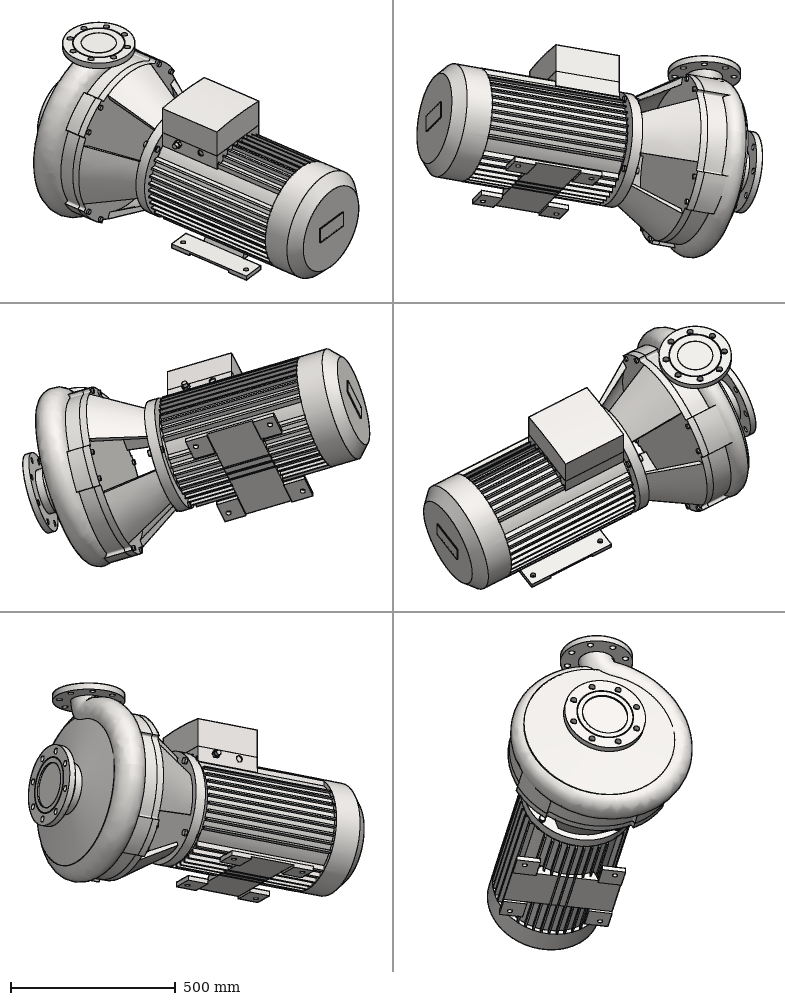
import cadquery as cq
import math


diagonals = (45, 135, 225, 315)

suction_flange_thk = 20.0
collar_x = 46.5
cone_start_x = 69.5
cone_end_x = 93.0
volute_x = 139.5
split_x = 233.0
ring_end_x = 255.5
flange_x = 415.0
motor_x = 448.0
stator_x = 462.5
fan_cover_x = 909.0
taper_x = 992.0
motor_end_x = 1027.5
overall_length = 1031.0

suction_flange_d = 250.0
suction_bolt_circle = 210.0
suction_face_d = 175.0
suction_bore_d = 139.7
suction_recess = 5.0
collar_d = 159.7
cone_r = 233.0
casing_r = 252.0
pad_r = 264.0
pad_half_angle = 14.0
pad_fillet = 5.0

discharge_z = 315.0
discharge_flange_d = 220.0
discharge_flange_thk = 20.0
discharge_bolt_circle = 180.0
discharge_face_d = 159.7
discharge_bore_d = 107.1
discharge_recess = 1.0
face_groove_width = 2.0
face_groove_depth = 0.5
flange_bolts = 8
flange_hole_d = 18.0

outlet_reach = 295.0
tail_reach = 264.8
outlet_tube_r = 48.0
tail_tube_r = 42.0
neck_tube_r = 55.0
outlet_centre_shift = 7.0
tail_centre_shift = 3.0

arm_thk = 23.0
arm_root_r = casing_r
arm_tip_r = 155.0
arm_half_angle = 25.0
motor_flange_d = 350.0
casing_screw_r = 252.0
casing_screw_angle = 9.5
casing_screw_head_d = 15.0
casing_screw_head_h = 6.0

flange_bolt_r = 163.5
flange_bolt_d = 13.0
flange_bolt_head_d = 19.0
flange_bolt_head_h = 9.0
flange_bolt_nut_h = 6.0

hub_d = 269.0
stator_r = 162.0
motor_r = 175.0
fan_cover_d = 349.0
rib_thk = 5.0
rib_pitch = 24.2
ribs_each_side = 4
taper_end_r = 139.0
plate_width = 114.0
plate_height = 51.0
plate_z = 5.5

foot_x = 546.0
foot_length = 286.0
foot_inner_y = 96.0
foot_outer_y = 168.0
foot_top_z = -165.0
foot_bottom_z = -180.0
foot_arch_z = -172.5
web_length = 149.0
web_top_z = -140.0
web_lean = 14.0
foot_hole_d = 15.0
foot_hole_y = 139.5
foot_hole_span = 241.0

box_length = 208.5
box_half_width = 105.0
box_bottom_z = 127.5
lid_z = 176.0
box_edge_z = 264.5
box_crown_z = 269.5
entry_z = 160.5
entry_d = 20.0
entry_depth = 5.0
gland_x = 524.5
entry_x = 608.5
gland_nut_d = 25.0
gland_nut_h = 8.0
gland_body_d = 16.0
gland_body_h = 20.0


def x_cylinder(x_start, x_end, radius, y=0.0, z=0.0):
    """Round bar along X."""
    plane = cq.Plane(origin=(x_start, y, z), xDir=(0, 1, 0), normal=(1, 0, 0))
    return cq.Workplane(plane).circle(radius).extrude(x_end - x_start)


def revolve_about_x(points):
    """Body of revolution about X from a closed list of (x, radius) points."""
    return cq.Workplane("XY").polyline(points).close().revolve(360, (0, 0, 0), (1, 0, 0))


def polar(radius, angle):
    """(y, z) of a point at a radius and an angle measured from +Y towards +Z."""
    return radius * math.cos(math.radians(angle)), radius * math.sin(math.radians(angle))


def tube(path, start, end):
    """Round tube swept along a path; start and end are (y, z, (y, z) tangent, radius)."""
    sections = []
    for y, z, tangent, radius in (start, end):
        sections.append(cq.Wire.makeCircle(radius, cq.Vector(volute_x, y, z), cq.Vector(0, *tangent)))
    return cq.Workplane(cq.Solid.sweep_multi(sections, path.wire().val()))


def outlet_tube():
    """Outlet arc from the -Y side, bent up into the vertical neck under the flange."""
    start_r = outlet_reach - outlet_tube_r
    arc_r = start_r - outlet_centre_shift
    neck_z = discharge_z - discharge_flange_thk

    leave = 2 * math.atan((neck_z - start_r) / (neck_z + start_r))
    leave_point = (-outlet_centre_shift - arc_r * math.sin(leave), arc_r * math.cos(leave))
    bend_half_angle = math.pi / 4 - leave / 2
    tangent_length = -leave_point[0] / math.cos(leave)
    bend_r = tangent_length / math.tan(bend_half_angle)
    arc_mid_angle = math.pi / 4 + leave / 2
    arc_mid = (
        -outlet_centre_shift - arc_r * math.sin(arc_mid_angle),
        arc_r * math.cos(arc_mid_angle),
    )
    bend_mid = (
        bend_r * (math.cos(bend_half_angle) - 1),
        neck_z - bend_r * math.sin(bend_half_angle),
    )
    path = (
        cq.Workplane("YZ", origin=(volute_x, 0, 0))
        .moveTo(-start_r, 0)
        .threePointArc(arc_mid, leave_point)
        .threePointArc(bend_mid, (0, neck_z))
    )
    return tube(path, (-start_r, 0, (0, 1), outlet_tube_r), (0, neck_z, (0, 1), neck_tube_r))


def lower_tube():
    """Lower half turn, centred off the axis so that it joins the outlet and the tail."""
    start_y = outlet_tube_r - outlet_reach
    end_y = tail_reach - tail_tube_r
    path = (
        cq.Workplane("YZ", origin=(volute_x, 0, 0))
        .moveTo(start_y, 0)
        .threePointArc(((start_y + end_y) / 2, (start_y - end_y) / 2), (end_y, 0))
    )
    return tube(path, (start_y, 0, (0, -1), outlet_tube_r), (end_y, 0, (0, 1), tail_tube_r))


def tail_tube():
    """Quarter turn of constant tube that ends inside the outlet."""
    start_y = tail_reach - tail_tube_r
    arc_r = start_y + tail_centre_shift
    mid_y, mid_z = polar(arc_r, 45)
    path = (
        cq.Workplane("YZ", origin=(volute_x, 0, 0))
        .moveTo(start_y, 0)
        .threePointArc((mid_y - tail_centre_shift, mid_z), (-tail_centre_shift, arc_r))
    )
    start = (start_y, 0, (0, 1), tail_tube_r)
    return tube(path, start, (-tail_centre_shift, arc_r, (-1, 0), tail_tube_r))


def bolting_pads(x_start, x_end):
    """Four raised sectors around the rim at 45 degrees, blended into the rim."""
    body = x_cylinder(x_start, x_end, casing_r)
    for angle in diagonals:
        left = polar(pad_r, angle - pad_half_angle)
        middle = polar(pad_r, angle)
        right = polar(pad_r, angle + pad_half_angle)
        pad = (
            cq.Workplane("YZ", origin=(x_start, 0, 0))
            .lineTo(*left).threePointArc(middle, right).close()
            .extrude(x_end - x_start)
        )
        body = body.union(pad)
    mid_r = (casing_r + pad_r) / 2
    roots = body.edges("|X").filter(lambda edge: math.hypot(edge.Center().y, edge.Center().z) < mid_r)
    return roots.fillet(pad_fillet)


def ring_groove(plane, diameter):
    """Shallow ring cut around a flange face."""
    return plane.circle(diameter / 2).circle(diameter / 2 - face_groove_width).extrude(-face_groove_depth)


def make_casing():
    """Volute casing with suction and discharge flanges."""
    profile = [
        (0, 0),
        (0, suction_flange_d / 2),
        (suction_flange_thk, suction_flange_d / 2),
        (suction_flange_thk, suction_bore_d / 2),
        (collar_x, suction_bore_d / 2),
        (collar_x, collar_d / 2),
        (cone_start_x, collar_d / 2),
        (cone_end_x, cone_r),
        (volute_x, cone_r),
        (volute_x, 0),
    ]
    body = revolve_about_x(profile)
    body = body.union(bolting_pads(volute_x, split_x))
    for part in (outlet_tube(), lower_tube(), tail_tube()):
        body = body.union(part)

    outlet_face = cq.Workplane("XY", origin=(volute_x, 0, discharge_z))
    body = body.union(outlet_face.circle(discharge_flange_d / 2).extrude(-discharge_flange_thk))
    inlet_face = cq.Workplane(cq.Plane(origin=(0, 0, 0), xDir=(0, 1, 0), normal=(-1, 0, 0)))

    hole_phase = 180 / flange_bolts
    for face, circle, depth in (
        (inlet_face, suction_bolt_circle, suction_flange_thk),
        (outlet_face, discharge_bolt_circle, discharge_flange_thk),
    ):
        holes = face.polarArray(circle / 2, hole_phase, 360, flange_bolts).circle(flange_hole_d / 2)
        body = body.cut(holes.extrude(-depth))
    body = body.cut(inlet_face.circle(suction_bore_d / 2).extrude(-suction_recess))
    body = body.cut(outlet_face.circle(discharge_bore_d / 2).extrude(-discharge_recess))
    body = body.cut(ring_groove(inlet_face, suction_face_d))
    return body.cut(ring_groove(outlet_face, discharge_face_d))


def flange_bolt_positions():
    """(y, z) of the four bolts between the lantern arms."""
    return [polar(flange_bolt_r, angle) for angle in diagonals]


def lantern_arms():
    """Four sectors of a conical shell, centred on the Y and Z axes."""
    shell = revolve_about_x([
        (ring_end_x, arm_root_r - arm_thk),
        (ring_end_x, arm_root_r),
        (flange_x, arm_tip_r),
        (flange_x, arm_tip_r - arm_thk * arm_tip_r / arm_root_r),
    ])
    arms = []
    reach = 2 * arm_root_r
    for angle in (0, 90, 180, 270):
        corners = [(0, 0), polar(reach, angle - arm_half_angle), polar(reach, angle + arm_half_angle)]
        wedge = cq.Workplane("YZ", origin=(ring_end_x, 0, 0)).polyline(corners).close()
        arms.append(shell.intersect(wedge.extrude(flange_x - ring_end_x)))
    return arms


def make_lantern():
    """Lantern: casing cover with screw heads, four arms and the motor flange."""
    body = bolting_pads(split_x, ring_end_x)
    for arm in lantern_arms():
        body = body.union(arm)
    body = body.union(x_cylinder(flange_x, motor_x, motor_flange_d / 2))
    for pad_angle in diagonals:
        for offset in (-casing_screw_angle, casing_screw_angle):
            y, z = polar(casing_screw_r, pad_angle + offset)
            head_end = ring_end_x + casing_screw_head_h
            body = body.union(x_cylinder(ring_end_x, head_end, casing_screw_head_d / 2, y, z))
    for y, z in flange_bolt_positions():
        body = body.cut(x_cylinder(flange_x, motor_x, flange_bolt_d / 2, y, z))
    return body


def make_flange_bolt(y, z):
    """Bolt through the motor flange, with its head in front and its nut behind."""
    head = x_cylinder(flange_x - flange_bolt_head_h, flange_x, flange_bolt_head_d / 2, y, z)
    shank = x_cylinder(flange_x, motor_x, flange_bolt_d / 2, y, z)
    nut = x_cylinder(motor_x, motor_x + flange_bolt_nut_h, flange_bolt_head_d / 2, y, z)
    return head.union(shank).union(nut)


def cooling_ribs():
    """Parallel ribs on the top, bottom and both sides of the stator."""
    length = fan_cover_x - stator_x
    ribs = x_cylinder(stator_x, fan_cover_x, stator_r)
    for index in range(-ribs_each_side, ribs_each_side + 1):
        offset = index * rib_pitch
        plane = cq.Workplane("YZ", origin=(stator_x, 0, 0))
        ribs = ribs.union(plane.center(offset, 0).rect(rib_thk, 2 * motor_r).extrude(length))
        ribs = ribs.union(plane.center(0, offset).rect(2 * motor_r, rib_thk).extrude(length))
    return ribs.intersect(x_cylinder(stator_x, fan_cover_x, motor_r))


def motor_feet():
    """Two foot plates on a web under the stator."""
    foot_mid_x = foot_x + foot_length / 2
    feet = (
        cq.Workplane("YZ", origin=(foot_mid_x - web_length / 2, 0, 0))
        .polyline([
            (-foot_inner_y, foot_arch_z),
            (foot_inner_y, foot_arch_z),
            (foot_inner_y, foot_top_z),
            (foot_inner_y - web_lean, web_top_z),
            (web_lean - foot_inner_y, web_top_z),
            (-foot_inner_y, foot_top_z),
        ])
        .close()
        .extrude(web_length)
    )
    foot_width = foot_outer_y - foot_inner_y
    for side in (-1, 1):
        foot_mid_y = side * (foot_inner_y + foot_outer_y) / 2
        plate = (
            cq.Workplane("XY", origin=(foot_mid_x, foot_mid_y, foot_bottom_z))
            .rect(foot_length, foot_width)
            .extrude(foot_top_z - foot_bottom_z)
        )
        arch = (
            cq.Workplane("XY", origin=(foot_mid_x, foot_mid_y, foot_bottom_z))
            .rect(web_length, foot_width)
            .extrude(foot_arch_z - foot_bottom_z)
        )
        holes = (
            cq.Workplane("XY", origin=(foot_mid_x, side * foot_hole_y, foot_bottom_z))
            .pushPoints([(-foot_hole_span / 2, 0), (foot_hole_span / 2, 0)])
            .circle(foot_hole_d / 2)
            .extrude(foot_top_z - foot_bottom_z)
        )
        feet = feet.union(plate.cut(arch).cut(holes))
    return feet


def make_motor():
    """Motor: hub, ribbed stator, fan cover, end plate and feet."""
    body = x_cylinder(motor_x, stator_x, hub_d / 2)
    body = body.union(cooling_ribs())
    body = body.union(revolve_about_x([
        (fan_cover_x, 0),
        (fan_cover_x, fan_cover_d / 2),
        (taper_x, fan_cover_d / 2),
        (motor_end_x, taper_end_r),
        (motor_end_x, 0),
    ]))
    end_plate = (
        cq.Workplane("YZ", origin=(motor_end_x, 0, plate_z))
        .rect(plate_width, plate_height)
        .extrude(overall_length - motor_end_x)
    )
    return body.union(end_plate).union(motor_feet())


def make_box_base(motor):
    """Lower part of the terminal box, fitted over the ribs, with one open cable entry."""
    base = (
        cq.Workplane("XY", origin=(stator_x + box_length / 2, 0, box_bottom_z))
        .rect(box_length, 2 * box_half_width)
        .extrude(lid_z - box_bottom_z)
    )
    entry = (
        cq.Workplane("XZ", origin=(entry_x, -box_half_width, entry_z))
        .circle(entry_d / 2)
        .extrude(-entry_depth)
    )
    return base.cut(motor).cut(entry)


def make_box_lid():
    """Lid of the terminal box with a slightly crowned top."""
    return (
        cq.Workplane("YZ", origin=(stator_x, 0, 0))
        .moveTo(-box_half_width, lid_z)
        .lineTo(box_half_width, lid_z)
        .lineTo(box_half_width, box_edge_z)
        .threePointArc((0, box_crown_z), (-box_half_width, box_edge_z))
        .close()
        .extrude(box_length)
    )


def make_gland():
    """Cable gland on the side of the terminal box."""
    face = cq.Workplane("XZ", origin=(gland_x, -box_half_width, entry_z))
    nut = face.polygon(6, gland_nut_d).extrude(gland_nut_h)
    return nut.union(face.circle(gland_body_d / 2).extrude(gland_body_h))


casing = make_casing()
lantern = make_lantern()
bolts = [make_flange_bolt(y, z) for y, z in flange_bolt_positions()]
motor = make_motor()
box_base = make_box_base(motor)
box_lid = make_box_lid()
gland = make_gland()

bodies = [casing, lantern, *bolts, motor, box_base, box_lid, gland]
result = cq.Compound.makeCompound([body.solids().val() for body in bodies])